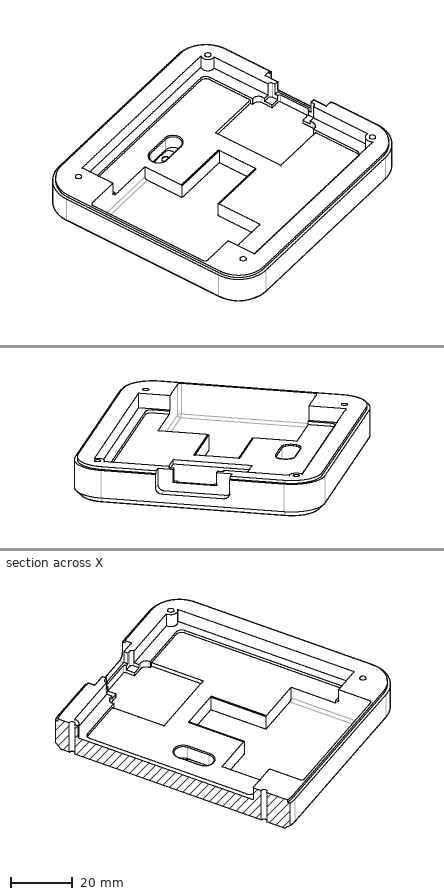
import cadquery as cq

LENGTH_X = 83.0
LENGTH_Y = 87.8
HEIGHT = 12.5
CORNER_RADIUS = 11.1
BOTTOM_CHAMFER = 2.0
LIP = 1.0

TRAY_Z = HEIGHT - 5.0
BED_Z = TRAY_Z - 1.05
CONNECTOR_Z = BED_Z - 1.5
LEDGE_Z = CONNECTOR_Z + 1.2
SILL_Z = CONNECTOR_Z + 3.1
BATTERY_Z = 1.0

TRAY_HALF_X = 34.5
TRAY_REAR = 37.75
TRAY_FRONT = -29.8

BED_HALF_X = 31.5
BED_REAR = 33.45
BED_FRONT = -28.7
BED_CORNER_RADIUS = 2.0

SCREW_X = 33.0
SCREW_REAR = 37.4
SCREW_FRONT = -33.8
SCREW_DIAMETER = 2.0
BOSS_DIAMETER = 4.6

BAY_LEFT = -22.1
BAY_RIGHT = 24.05
BAY_FRONT = -42.1
BAY_REAR = -12.2
BAY_FILLET = 1.0
STEM_HALF_X = 7.2
STEM_REAR = 8.25
STEM_RIM_WIDTH = 0.35
STEM_RIM_DEPTH = 0.2

RECESS_HALF_X = 13.1
RECESS_FRONT = 14.3
SHOULDER_HALF_X = 12.2
SHOULDER_REAR = 35.9
SHOULDER_RADIUS = 2.0
LEDGE_HALF_X = 9.1
LEDGE_REAR = 39.0
LEDGE_RADIUS = 1.0
CHANNEL_HALF_X = 6.15
CHANNEL_REAR = 39.8
CHANNEL_RADIUS = 0.6
SILL_HALF_X = 7.2
NOTCH_HALF_X = 12.3
NOTCH_FRONT = 40.5
NOTCH_RADIUS = 2.0
NOTCH_Z = CONNECTOR_Z

BUTTON_X = -21.6
BUTTON_Y = -1.5
SLOT_LENGTH = 14.0
SLOT_WIDTH = 6.0
SLOT_CHAMFER = 0.35
SLOT_Z = 1.3
PLATE_LENGTH = 8.8
PLATE_WIDTH = 5.0
PLATE_RADIUS = 2.0
PLATE_THICKNESS = 0.4
STUD_DIAMETER = 3.5
STUD_PROTRUSION = 0.5
NUB_DIAMETER = 2.5
NUB_HEIGHT = 0.3


def block(x_min, x_max, y_min, y_max, z_min, z_max):
    """Box between the given limits."""
    return cq.Workplane("XY").box(
        x_max - x_min, y_max - y_min, z_max - z_min, centered=False
    ).translate((x_min, y_min, z_min))


def centred_block(half_x, y_min, y_max, z_min, z_max):
    """Box symmetric about X = 0."""
    return block(-half_x, half_x, y_min, y_max, z_min, z_max)


def cylinder(x, y, diameter, z_min, z_max):
    """Vertical cylinder between the given heights."""
    return cq.Workplane("XY", origin=(x, y, z_min)).circle(diameter / 2).extrude(z_max - z_min)


def make_shell():
    """Solid outer form: chamfered base and a stepped top rim."""
    base = (
        cq.Workplane("XY")
        .rect(LENGTH_X, LENGTH_Y)
        .extrude(HEIGHT - LIP)
        .edges("|Z").fillet(CORNER_RADIUS)
        .faces("<Z").chamfer(BOTTOM_CHAMFER)
    )
    rim = (
        cq.Workplane("XY", origin=(0, 0, HEIGHT - LIP))
        .rect(LENGTH_X - 2 * LIP, LENGTH_Y - 2 * LIP)
        .extrude(LIP)
        .edges("|Z").fillet(CORNER_RADIUS - LIP)
    )
    return base.union(rim)


def make_tray():
    """Upper pocket, less the two screw bosses in its rear corners."""
    tray = centred_block(TRAY_HALF_X, TRAY_FRONT, TRAY_REAR, TRAY_Z, HEIGHT)
    for x in (-SCREW_X, SCREW_X):
        tray = tray.cut(cylinder(x, SCREW_REAR, BOSS_DIAMETER, TRAY_Z, HEIGHT))
    return tray


def make_bed():
    """Shallow pocket in the tray floor."""
    bed = centred_block(BED_HALF_X, BED_FRONT, BED_REAR, BED_Z, TRAY_Z)
    return bed.edges("|Z").fillet(BED_CORNER_RADIUS)


def make_battery_bay():
    """Wide front part of the battery pocket, rounded at its side and front edges."""
    bay = block(BAY_LEFT, BAY_RIGHT, BAY_FRONT, BAY_REAR, BATTERY_Z, HEIGHT)
    return bay.edges("(<Z and |Y) or <Y exc >Z").fillet(BAY_FILLET)


def make_battery_stem():
    """Narrow rear part of the battery pocket, with a shallow step along its two side rims."""
    stem = centred_block(STEM_HALF_X, BAY_REAR, STEM_REAR, BATTERY_Z, BED_Z)
    rim_half_x = STEM_HALF_X + STEM_RIM_WIDTH
    rim = centred_block(rim_half_x, BAY_REAR, STEM_REAR, BED_Z - STEM_RIM_DEPTH, BED_Z)
    return stem.union(rim)


def make_connector_recess():
    """Deep recess for the connector, narrowing in two steps towards the rear wall."""
    recess = centred_block(RECESS_HALF_X, RECESS_FRONT, BED_REAR, CONNECTOR_Z, BED_Z)
    shoulder = (
        centred_block(SHOULDER_HALF_X, RECESS_FRONT, SHOULDER_REAR, CONNECTOR_Z, TRAY_Z)
        .edges("|Z and >Y").fillet(SHOULDER_RADIUS)
    )
    channel = (
        centred_block(CHANNEL_HALF_X, RECESS_FRONT, CHANNEL_REAR, CONNECTOR_Z, HEIGHT)
        .edges("|Z and >Y").fillet(CHANNEL_RADIUS)
    )
    return recess.union(shoulder).union(channel)


def make_rear_opening():
    """Ledges beside the channel, the sill behind it and the notch through the rear wall."""
    ledge = (
        centred_block(LEDGE_HALF_X, SHOULDER_REAR, LEDGE_REAR, LEDGE_Z, HEIGHT)
        .edges("|Z and >Y").fillet(LEDGE_RADIUS)
    )
    sill = centred_block(SILL_HALF_X, SHOULDER_REAR, NOTCH_FRONT, SILL_Z, HEIGHT)
    notch = (
        centred_block(NOTCH_HALF_X, NOTCH_FRONT, LENGTH_Y / 2, NOTCH_Z, HEIGHT)
        .faces("<Z").edges("|Y").fillet(NOTCH_RADIUS)
    )
    return ledge.union(sill).union(notch)


def make_button_slot():
    """Round-ended slot in the bed floor, widening at its mouth by a 45 degree chamfer."""
    slot = (
        cq.Workplane("XY", origin=(BUTTON_X, BUTTON_Y, SLOT_Z))
        .slot2D(SLOT_LENGTH, SLOT_WIDTH, 90)
        .extrude(BED_Z - SLOT_Z)
    )
    mouth = (
        cq.Workplane("XY", origin=(BUTTON_X, BUTTON_Y, BED_Z - SLOT_CHAMFER))
        .slot2D(SLOT_LENGTH, SLOT_WIDTH, 90)
        .extrude(SLOT_CHAMFER, taper=-45)
    )
    return slot.union(mouth)


def make_housing():
    """Shell with all its pockets, the screw holes and the hole for the button stud."""
    housing = make_shell()
    for pocket in (
        make_tray(),
        make_bed(),
        make_battery_bay(),
        make_battery_stem(),
        make_connector_recess(),
        make_rear_opening(),
        make_button_slot(),
    ):
        housing = housing.cut(pocket)
    for x in (-SCREW_X, SCREW_X):
        for y in (SCREW_FRONT, SCREW_REAR):
            housing = housing.cut(cylinder(x, y, SCREW_DIAMETER, 0, HEIGHT))
    stud_hole = cylinder(BUTTON_X, BUTTON_Y, STUD_DIAMETER, 0, SLOT_Z)
    return housing.cut(stud_hole)


def make_button():
    """Plate resting on the slot floor, a stud through the housing and a nub on top."""
    plate_top = SLOT_Z + PLATE_THICKNESS
    plate = (
        cq.Workplane("XY", origin=(BUTTON_X, BUTTON_Y, SLOT_Z))
        .rect(PLATE_WIDTH, PLATE_LENGTH)
        .extrude(PLATE_THICKNESS)
        .edges("|Z").fillet(PLATE_RADIUS)
    )
    stud = cylinder(BUTTON_X, BUTTON_Y, STUD_DIAMETER, -STUD_PROTRUSION, SLOT_Z)
    nub = cylinder(BUTTON_X, BUTTON_Y, NUB_DIAMETER, plate_top, plate_top + NUB_HEIGHT)
    return plate.union(stud).union(nub)


housing = make_housing()
button = make_button()
result = cq.Compound.makeCompound([housing.val(), button.val()])